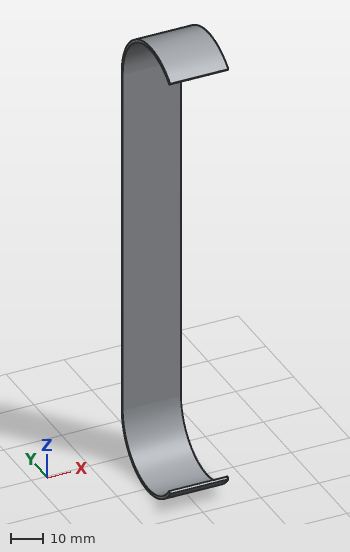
import cadquery as cq
import math

height = 163.2
depth = 35.1
width = 20.0
thickness = 1.0
top_radius = 21.0
bottom_radius = 19.5

top_center_z = height / 2 - top_radius
bottom_center_z = -height / 2 + bottom_radius


def hook_point(outer_radius, center_z, side, radius, angle):
    """Point on a hook arc; angle runs from the back (0) over the crest (90 degrees).

    side is +1 for the upper hook and -1 for the lower one.
    """
    y = -outer_radius + radius * math.cos(angle)
    z = center_z + side * radius * math.sin(angle)
    return y, z


def make_hook(outer_radius, center_z, side):
    """Curved strip with a radial end whose outer tip reaches the full depth."""
    inner_radius = outer_radius - thickness
    tip_angle = math.pi - math.acos((depth - outer_radius) / outer_radius)

    def outer(angle):
        return hook_point(outer_radius, center_z, side, outer_radius, angle)

    def inner(angle):
        return hook_point(outer_radius, center_z, side, inner_radius, angle)

    return (
        cq.Workplane("YZ")
        .moveTo(*outer(0))
        .threePointArc(outer(tip_angle / 2), outer(tip_angle))
        .lineTo(*inner(tip_angle))
        .threePointArc(inner(tip_angle / 2), inner(0))
        .close()
        .extrude(width / 2, both=True)
    )


back_height = top_center_z - bottom_center_z
back = cq.Workplane("XY").box(width, thickness, back_height).translate(
    (0, -thickness / 2, (top_center_z + bottom_center_z) / 2)
)

upper_hook = make_hook(top_radius, top_center_z, 1)
lower_hook = make_hook(bottom_radius, bottom_center_z, -1)

result = back.union(upper_hook).union(lower_hook)